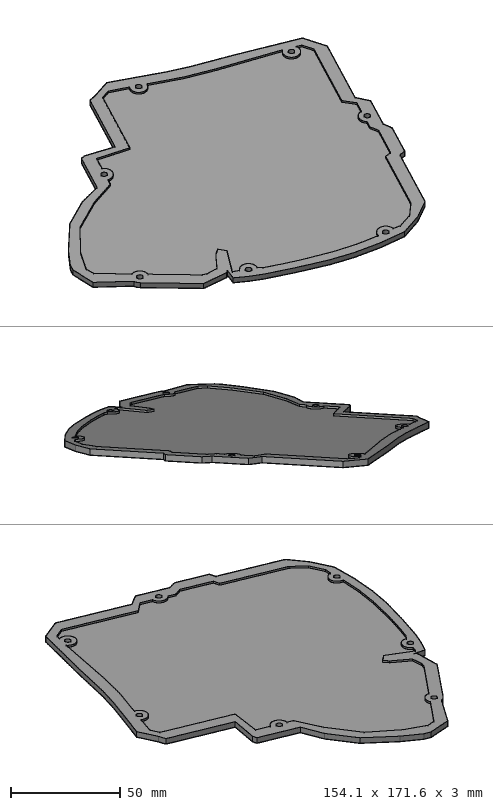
import cadquery as cq

WIDTH = 154.13
LENGTH = 171.55
THICKNESS = 3.0
POCKET_DEPTH = 1.0

HOLE_DIAMETER = 3.0
BOSS_RADIUS = 4.2
SCREW_POINTS = [
    (-14.8, 77.8),
    (-69.6, 60.0),
    (66.5, 58.6),
    (71.2, -9.6),
    (-68.8, -14.4),
    (-14.7, -49.9),
    (59.9, -58.4),
]

LEFT = -WIDTH / 2
RIGHT = WIDTH / 2
BACK = LENGTH / 2
FRONT = -LENGTH / 2

BACK_LEDGE = 82.8
BACK_LEFT_LEDGE = 76.8
FRONT_LEDGE = -56.0
FRONT_LEFT_LEDGE = -38.7
POCKET_BACK = 79.3
POCKET_BACK_LEDGE = 76.3
POCKET_BACK_LEFT_LEDGE = 70.3
POCKET_FRONT_LEDGE = -49.4
POCKET_FRONT_LEFT_LEDGE = -32.5

LEFT_SIDE_TOP = (LEFT, 67.9)
LEFT_WALL_TOP = (-72.3, 63.0)


def outer_outline():
    """Outer edge of the plate, clockwise; the two long sides are smooth curves."""
    back_edge = [
        (-67.9, BACK_LEFT_LEDGE),
        (-29.0, BACK_LEFT_LEDGE),
        (-24.4, BACK_LEDGE),
        (-6.9, BACK_LEDGE),
        (-2.9, BACK),
        (14.7, BACK),
        (16.5, BACK_LEDGE),
        (51.8, BACK_LEDGE),
        (61.0, 76.0),
        (69.1, 66.9),
    ]
    right_side = [(74.5, 46.9), (76.8, 29.5), (RIGHT, 14.0), (76.8, -2.1), (74.6, -18.2)]
    thumb_edge = [
        (68.6, -19.0),
        (70.1, -19.8),
        (74.0, -32.3),
        (64.0, -59.6),
        (62.0, -62.0),
        (56.6, -80.0),
        (45.2, FRONT),
        (41.6, FRONT),
        (30.8, -83.0),
        (13.6, -76.4),
        (0.7, -65.9),
        (-6.9, FRONT_LEDGE),
        (-29.0, FRONT_LEDGE),
        (-30.2, -53.8),
        (-31.7, FRONT_LEFT_LEDGE),
        (-66.9, FRONT_LEFT_LEDGE),
        (-69.2, -35.4),
        (-76.3, -27.3),
    ]
    left_side = [(-75.7, -15.9), (-74.5, 7.7), (-75.5, 27.9), (-76.5, 50.0), LEFT_SIDE_TOP]
    return (
        cq.Workplane("XY")
        .moveTo(*LEFT_SIDE_TOP)
        .polyline(back_edge, includeCurrent=True)
        .spline(right_side, includeCurrent=True)
        .polyline(thumb_edge, includeCurrent=True)
        .spline(left_side, includeCurrent=True)
        .close()
    )


def pocket_outline():
    """Pocket wall without the bosses, clockwise; the two long walls are smooth curves."""
    back_wall = [
        (-72.3, 66.0),
        (-67.9, POCKET_BACK_LEFT_LEDGE),
        (-28.9, POCKET_BACK_LEFT_LEDGE),
        (-25.1, POCKET_BACK_LEDGE),
        (-6.9, POCKET_BACK_LEDGE),
        (-3.3, POCKET_BACK),
        (13.6, POCKET_BACK),
        (15.4, POCKET_BACK_LEDGE),
        (50.6, POCKET_BACK_LEDGE),
        (58.9, 72.8),
        (64.5, 66.4),
        (65.3, 62.4),
    ]
    right_wall = [(70.2, 44.3), (72.3, 25.0), (72.6, 8.5), (72.2, -3.0)]
    thumb_wall = [
        (71.2, -5.4),
        (70.3, -17.1),
        (55.3, -14.5),
        (52.9, -18.2),
        (55.7, -20.1),
        (65.8, -23.0),
        (67.9, -28.5),
        (67.9, -31.1),
        (50.7, -77.6),
        (46.7, -79.8),
        (34.8, -78.4),
        (17.5, -72.8),
        (2.6, -60.6),
        (-7.2, POCKET_FRONT_LEDGE),
        (-26.5, POCKET_FRONT_LEDGE),
        (-28.8, POCKET_FRONT_LEFT_LEDGE),
        (-66.9, POCKET_FRONT_LEFT_LEDGE),
        (-70.3, -28.6),
    ]
    left_wall = [(-69.5, -12.0), (-68.5, 7.7), (-69.5, 27.0), (-71.6, 50.0), LEFT_WALL_TOP]
    return (
        cq.Workplane("XY")
        .workplane(offset=THICKNESS - POCKET_DEPTH)
        .moveTo(*LEFT_WALL_TOP)
        .polyline(back_wall, includeCurrent=True)
        .spline(right_wall, includeCurrent=True)
        .polyline(thumb_wall, includeCurrent=True)
        .spline(left_wall, includeCurrent=True)
        .close()
    )


def screw_cylinders(radius):
    """One full-height cylinder on every screw point."""
    return cq.Workplane("XY").pushPoints(SCREW_POINTS).circle(radius).extrude(THICKNESS)


plate = outer_outline().extrude(THICKNESS)
pocket = pocket_outline().extrude(POCKET_DEPTH)
bosses = screw_cylinders(BOSS_RADIUS)
holes = screw_cylinders(HOLE_DIAMETER / 2)

result = plate.cut(pocket).union(bosses).cut(holes)